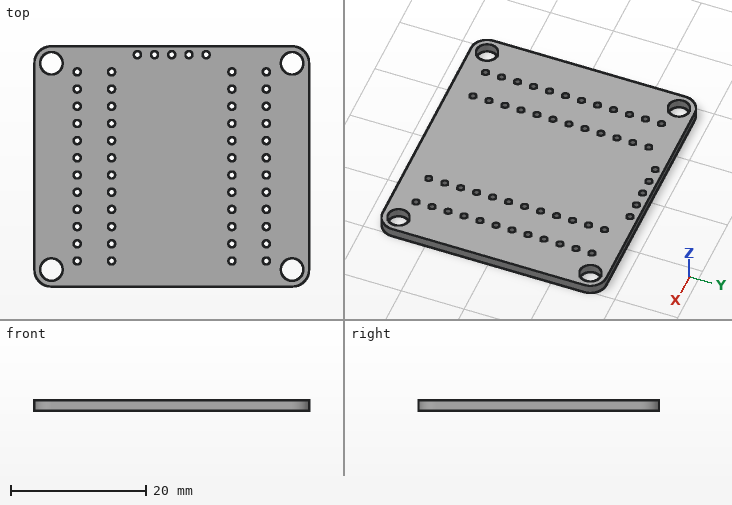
import cadquery as cq

length = 40.65
grid = length / 16
width = 14 * grid
thickness = 1.6
corner_radius = grid

mount_hole_diameter = 3.3
pin_hole_diameter = 1.0
pins_per_column = 12
pins_in_edge_row = 5
inner_column_x = 3.5 * grid
outer_column_x = 5.5 * grid
edge_row_y = width / 2 - grid / 2


def centred_positions(count):
    """Coordinates of evenly pitched holes, centred on zero."""
    return [(i - (count - 1) / 2) * grid for i in range(count)]


plate = cq.Workplane("XY").box(length, width, thickness).edges("|Z").fillet(corner_radius)

mount_points = [
    (side_x * (length / 2 - corner_radius), side_y * (width / 2 - corner_radius))
    for side_x in (-1, 1)
    for side_y in (-1, 1)
]
plate = plate.faces(">Z").workplane().pushPoints(mount_points).hole(mount_hole_diameter)

column_points = [
    (x, y)
    for x in (-outer_column_x, -inner_column_x, inner_column_x, outer_column_x)
    for y in centred_positions(pins_per_column)
]
edge_points = [(x, edge_row_y) for x in centred_positions(pins_in_edge_row)]
pin_points = column_points + edge_points
result = plate.faces(">Z").workplane().pushPoints(pin_points).hole(pin_hole_diameter)